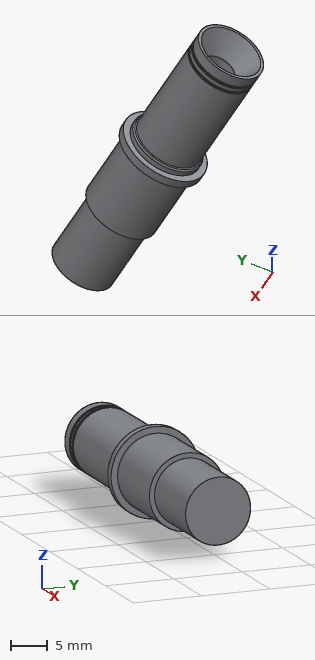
import cadquery as cq
import math

total_length = 42.8
collar_start = 17.9
flange_start = 19.0
flange_width = 1.2
shoulder_end = 31.65

barrel_diameter = 10.0
collar_diameter = 10.8
flange_diameter = 12.9
shoulder_diameter = 11.0
spigot_diameter = 9.52

lead_in_diameter = 10.4
steep_lead_in_length = 0.1
gentle_lead_in_length = 0.25

groove_diameter = 9.8
groove_floor_width = 0.2
groove_wall_length = (barrel_diameter - groove_diameter) / 2
groove_centers = (1.8, 2.8)

funnel_half_angle = 30.0
mouth_diameter = 9.1
bore_diameter = 5.0
funnel_depth = (mouth_diameter - bore_diameter) / 2 / math.tan(math.radians(funnel_half_angle))
bore_floor = 10.0


def cylinder(start, end, diameter):
    """Solid cylinder about the X axis between two stations."""
    return cq.Workplane("YZ", origin=(start, 0, 0)).circle(diameter / 2).extrude(end - start)


def revolve_profile(points):
    """Solid turned about the X axis from a closed outline of (station, radius) points."""
    outline = cq.Workplane("XY").polyline(points).close()
    return outline.revolve(360, (0, 0, 0), (1, 0, 0))


def make_collar():
    """Low collar in front of the flange with a two-step conical lead-in."""
    lead_in_break = collar_start + steep_lead_in_length
    lead_in_end = lead_in_break + gentle_lead_in_length
    return revolve_profile(
        [
            (collar_start, 0),
            (collar_start, barrel_diameter / 2),
            (lead_in_break, lead_in_diameter / 2),
            (lead_in_end, collar_diameter / 2),
            (flange_start, collar_diameter / 2),
            (flange_start, 0),
        ]
    )


def make_body():
    """Stepped outside of the part: barrel, collar, flange, shoulder and spigot."""
    flange_end = flange_start + flange_width
    body = cylinder(0, flange_start, barrel_diameter)
    body = body.union(make_collar())
    body = body.union(cylinder(flange_start, flange_end, flange_diameter))
    body = body.union(cylinder(flange_end, shoulder_end, shoulder_diameter))
    return body.union(cylinder(shoulder_end, total_length, spigot_diameter))


def make_groove(center):
    """Ring of material removed by one flat-bottomed groove with sloping walls."""
    half_floor = groove_floor_width / 2
    half_width = half_floor + groove_wall_length
    return revolve_profile(
        [
            (center - half_width, barrel_diameter / 2),
            (center - half_floor, groove_diameter / 2),
            (center + half_floor, groove_diameter / 2),
            (center + half_width, barrel_diameter / 2),
        ]
    )


def make_funnel():
    """Cone that narrows from the mouth into a flat-bottomed bore."""
    return revolve_profile(
        [
            (0, 0),
            (0, mouth_diameter / 2),
            (funnel_depth, bore_diameter / 2),
            (bore_floor, bore_diameter / 2),
            (bore_floor, 0),
        ]
    )


result = make_body().cut(make_funnel())
for groove_center in groove_centers:
    result = result.cut(make_groove(groove_center))